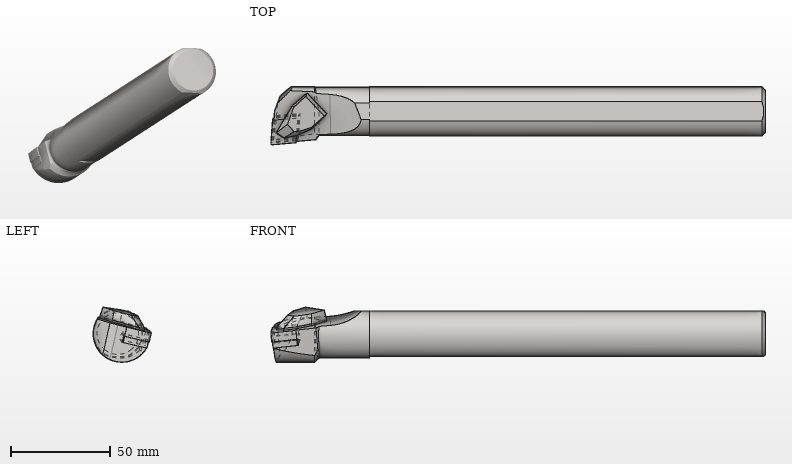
import cadquery as cq
import math

LENGTH = 250.0
SHANK_DIAMETER = 25.0
SHANK_START = 50.0
FLAT_HEIGHT = 11.5
END_CHAMFER = 2.0
NECK_DIAMETER = 24.5
NECK_START = 20.0

HEAD_RADIUS = 14.5
HEAD_OFFSET = -2.0
HEAD_END = 24.5
HEAD_CHAMFER = 2.2
EDGE_ANGLE = 5.0
FACE_SETBACK = 0.7
HEEL_START = 23.0
HEEL_ANGLE = 55.0
END_FACE_CORNER = (2.2, 17.5)
BEVEL_CORNER = (3.7, 21.5)

TIP = (0, -17.0, 0.2)
SLOPE_X = 0.087
SLOPE_Y = 0.231
SCOOP_START = 30.5
SCOOP_RADIUS = 32.5
SCOOP_ANGLE = 40.0

INSERT_SIDE = 12.87
INSERT_ANGLE = 80.0
INSERT_THICKNESS = 4.7
INSERT_NOSE_RADIUS = 0.7
SHIM_THICKNESS = 3.2
SHIM_SETBACK = 0.5
SHIM_CLEARANCE = 0.5

CLAMP_HEIGHT = 5.7
CLAMP_SHOULDER = 1.0
CLAMP_ROOT = 1.2
CLAMP_FOOT = [(3.0, 6.5), (6.7, 3.7), (13.5, 5.0), (21.0, 8.5), (28.7, 16.2), (19.0, 27.0), (11.5, 20.5)]
CLAMP_TOP = [(9.2, 12.0), (12.5, 8.2), (16.2, 8.7), (21.5, 10.5), (28.0, 16.2), (18.7, 26.5), (12.5, 20.7)]

OVERSIZE = 75.0

rake_plane = cq.Plane(origin=TIP, xDir=(1, 0, SLOPE_X), normal=(-SLOPE_X, -SLOPE_Y, 1))


def along_axis(start, end, radius, offset_y=0):
    """Cylinder parallel to X."""
    plane = cq.Plane(origin=(start, offset_y, 0), xDir=(0, 1, 0), normal=(1, 0, 0))
    return cq.Workplane(plane).circle(radius).extrude(end - start)


def rake_prism(points, top, bottom):
    """Polygonal prism square to the rake plane, between two heights above it."""
    return cq.Workplane(rake_plane).workplane(offset=bottom).polyline(points).close().extrude(top - bottom)


def rhombus(side, setback=0.0):
    """Insert outline, with its corner moved along both plane axes by the setback."""
    first = math.radians(EDGE_ANGLE)
    second = math.radians(EDGE_ANGLE + INSERT_ANGLE)
    bottom = (side * math.cos(first), side * math.sin(first))
    left = (side * math.cos(second), side * math.sin(second))
    corners = [(0, 0), bottom, (bottom[0] + left[0], bottom[1] + left[1]), left]
    return [(u + setback, v + setback) for u, v in corners]


def make_shank():
    shank = along_axis(SHANK_START, LENGTH, SHANK_DIAMETER / 2).faces(">X").chamfer(END_CHAMFER)
    flats = cq.Workplane("XY").box(2 * LENGTH, 2 * SHANK_DIAMETER, 2 * FLAT_HEIGHT)
    return shank.intersect(flats)


def make_neck():
    neck = along_axis(NECK_START, SHANK_START, NECK_DIAMETER / 2)
    above_flat = cq.Workplane("XY").workplane(offset=FLAT_HEIGHT).rect(2 * LENGTH, OVERSIZE).extrude(OVERSIZE)
    return neck.cut(above_flat)


def make_head():
    """Eccentric cylinder trimmed by faces square to the rake plane."""
    head = along_axis(-HEAD_END, HEAD_END, HEAD_RADIUS, HEAD_OFFSET).faces(">X").chamfer(HEAD_CHAMFER)
    slope = math.tan(math.radians(EDGE_ANGLE))
    heel = (HEEL_START, FACE_SETBACK + slope * (HEEL_START - FACE_SETBACK))
    heel_angle = math.radians(HEEL_ANGLE)
    outline = [
        (FACE_SETBACK, FACE_SETBACK),
        heel,
        (heel[0] + OVERSIZE * math.cos(heel_angle), heel[1] + OVERSIZE * math.sin(heel_angle)),
        (BEVEL_CORNER[0] + OVERSIZE, BEVEL_CORNER[1] + OVERSIZE),
        BEVEL_CORNER,
        END_FACE_CORNER,
    ]
    return head.intersect(rake_prism(outline, OVERSIZE, -OVERSIZE))


def make_rake_cutter():
    """Space above the rake plane, ending in a concave run-out along the neck."""
    angle = math.radians(SCOOP_ANGLE)
    side_plane = cq.Plane(origin=TIP, xDir=rake_plane.xDir, normal=-rake_plane.yDir)

    def on_scoop(turn):
        return (SCOOP_START + SCOOP_RADIUS * math.sin(turn), SCOOP_RADIUS * (1 - math.cos(turn)))

    end = on_scoop(angle)
    return (
        cq.Workplane(side_plane)
        .moveTo(-OVERSIZE, 0)
        .lineTo(SCOOP_START, 0)
        .threePointArc(on_scoop(angle / 2), end)
        .lineTo(end[0], OVERSIZE)
        .lineTo(-OVERSIZE, OVERSIZE)
        .close()
        .extrude(OVERSIZE, both=True)
    )


def make_clamp():
    """Clamp with an upright foot and a nose and flanks that taper to the flat top."""
    foot = rake_prism(CLAMP_FOOT, CLAMP_SHOULDER, -CLAMP_ROOT)
    tapered = (
        cq.Workplane(rake_plane)
        .workplane(offset=CLAMP_SHOULDER)
        .polyline(CLAMP_FOOT)
        .close()
        .workplane(offset=CLAMP_HEIGHT - CLAMP_SHOULDER)
        .polyline(CLAMP_TOP)
        .close()
        .loft(ruled=True, combine=False)
    )
    return foot.union(tapered)


def make_insert():
    blank = rake_prism(rhombus(INSERT_SIDE), 0, -INSERT_THICKNESS)
    nose_edge = cq.selectors.NearestToPointSelector(rake_plane.toWorldCoords((0, 0, -INSERT_THICKNESS / 2)))
    return blank.edges(nose_edge).fillet(INSERT_NOSE_RADIUS)


def make_holder(insert):
    """Bar, head, shim and clamp in one solid, with a pocket for the insert."""
    shim_bottom = -INSERT_THICKNESS - SHIM_THICKNESS
    seat = rake_prism(rhombus(INSERT_SIDE + SHIM_CLEARANCE), -INSERT_THICKNESS, shim_bottom)
    shim = rake_prism(rhombus(INSERT_SIDE - SHIM_SETBACK, SHIM_SETBACK), -INSERT_THICKNESS, shim_bottom)
    bar = make_neck().union(make_head()).cut(make_rake_cutter()).union(make_shank())
    return bar.cut(seat).union(shim).union(make_clamp()).cut(insert)


insert = make_insert()
holder = make_holder(insert)
result = cq.Compound.makeCompound([*holder.solids().vals(), *insert.solids().vals()])